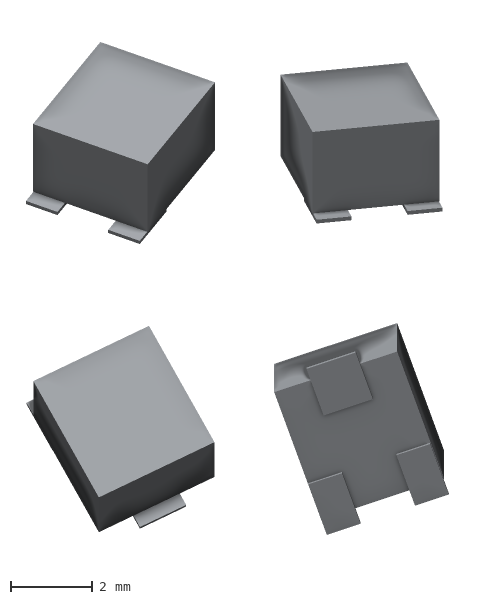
import cadquery as cq

housing_width = 3.2
housing_length = 3.5
housing_height = 2.2

terminal_thickness = 0.1
total_length = 4.23
rear_overhang = 0.343
front_overhang = total_length - housing_length - rear_overhang
rear_terminal_width = 1.28
rear_terminal_length = 1.28
front_terminal_width = 0.88
front_terminal_length = 1.387
front_terminal_side_inset = 0.013

rear_terminal_y = housing_length / 2 + rear_overhang - rear_terminal_length / 2
front_terminal_y = -housing_length / 2 - front_overhang + front_terminal_length / 2
front_terminal_x = housing_width / 2 - front_terminal_side_inset - front_terminal_width / 2


def make_housing():
    """Plain block standing on top of the terminals."""
    return (
        cq.Workplane("XY")
        .workplane(offset=terminal_thickness)
        .rect(housing_width, housing_length)
        .extrude(housing_height)
    )


def make_terminal(width, length, x, y):
    """Flat rectangular terminal centred at (x, y)."""
    return cq.Workplane("XY").center(x, y).rect(width, length).extrude(terminal_thickness)


housing = make_housing()
rear_terminal = make_terminal(rear_terminal_width, rear_terminal_length, 0, rear_terminal_y)
front_terminals = [
    make_terminal(front_terminal_width, front_terminal_length, side * front_terminal_x, front_terminal_y)
    for side in (-1, 1)
]

result = cq.Compound.makeCompound(
    [housing.val(), rear_terminal.val(), *[terminal.val() for terminal in front_terminals]]
)